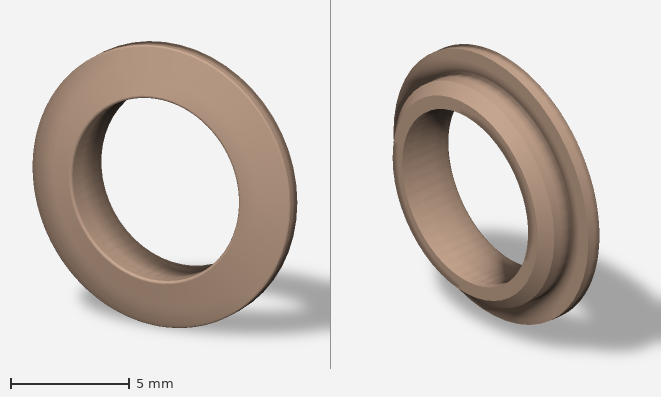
import cadquery as cq
import math

total_depth = 2.67
flange_radius = 6.19
neck_radius = 5.1
bore_radius = 4.0
neck_length = 1.46
neck_chamfer = 0.5
edge_round = 0.1
cone_angle = math.radians(15)
match_tolerance = 0.001

back_y = total_depth / 2
front_y = -total_depth / 2
flange_back_y = back_y - neck_length

tip_trim = edge_round * (math.tan(cone_angle) + 1 / math.cos(cone_angle) - 1)
tip_y = front_y - tip_trim
rim_y = tip_y + (flange_radius - bore_radius) * math.tan(cone_angle)

ring = (
    cq.Workplane("XY")
    .moveTo(bore_radius, tip_y)
    .lineTo(flange_radius, rim_y)
    .lineTo(flange_radius, flange_back_y)
    .lineTo(neck_radius, flange_back_y)
    .lineTo(neck_radius, back_y - neck_chamfer)
    .lineTo(neck_radius - neck_chamfer, back_y)
    .lineTo(bore_radius, back_y)
    .close()
    .revolve(360, (0, 0, 0), (0, 1, 0))
)


def round_circle(body, radius, y):
    """Round the circular edge that passes through the given radius and Y."""
    def on_circle(edge):
        same_radius = abs(edge.radius() - radius) < match_tolerance
        return same_radius and abs(edge.Center().y - y) < match_tolerance

    return body.edges("%CIRCLE").filter(on_circle).fillet(edge_round)


result = round_circle(ring, bore_radius, tip_y)
result = round_circle(result, flange_radius, rim_y)
result = round_circle(result, neck_radius, flange_back_y)